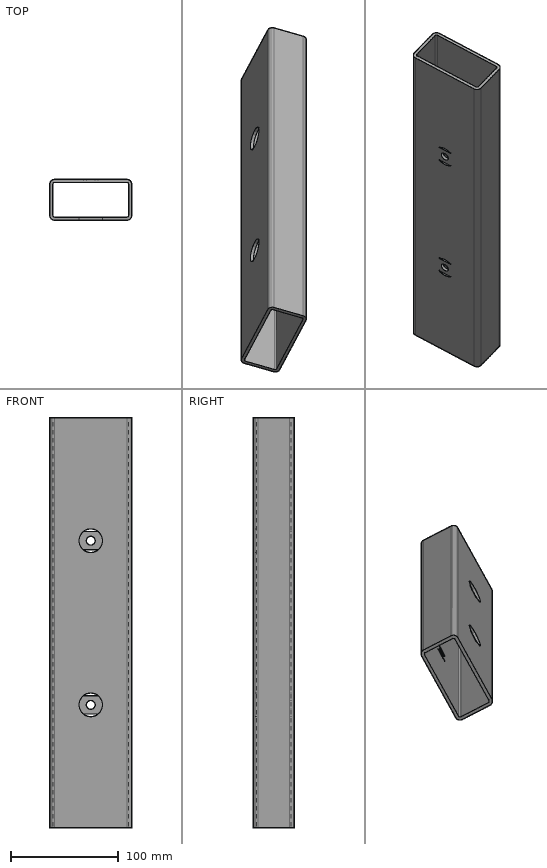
import cadquery as cq

width = 76.2
depth = 38.0
length = 381.0
wall = 3.0
outer_radius = 4.5
inner_radius = outer_radius - wall

access_diameter = 21.7
bolt_diameter = 8.0
hole_spacing = 152.5

web_height = 17.0


def rounded_bar(x_size, y_size, corner_radius):
    """Full-length bar with rounded vertical edges, centred on the origin."""
    return cq.Workplane("XY").box(x_size, y_size, length).edges("|Z").fillet(corner_radius)


def wall_hole(diameter, y_start, z):
    """Cylinder running along +Y from y_start for half the tube depth."""
    axis_start = cq.Vector(0, y_start, z)
    cylinder = cq.Solid.makeCylinder(diameter / 2, depth / 2, axis_start, cq.Vector(0, 1, 0))
    return cq.Workplane(obj=cylinder)


def web_openings(z):
    """Circle segments left open above and below the web."""
    web = cq.Workplane("XY").box(width, 2 * depth, web_height).translate((0, 0, z))
    return wall_hole(access_diameter, 0, z).cut(web)


result = rounded_bar(width, depth, outer_radius)
result = result.cut(rounded_bar(width - 2 * wall, depth - 2 * wall, inner_radius))

for hole_z in (-hole_spacing / 2, hole_spacing / 2):
    result = result.cut(wall_hole(access_diameter, -depth / 2, hole_z))
    result = result.cut(wall_hole(bolt_diameter, 0, hole_z))
    result = result.cut(web_openings(hole_z))